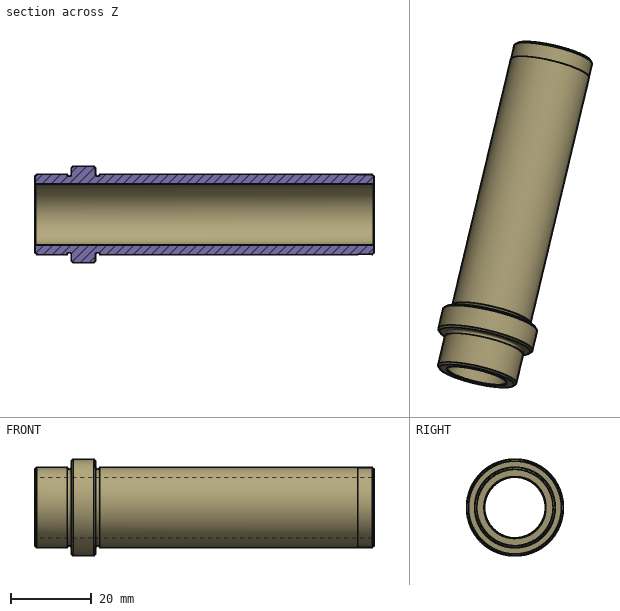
import cadquery as cq

length = 84.0
body_diameter = 20.0
edge_chamfer = 0.5

bore_diameter = 15.0
bore_chamfer = 0.2

flange_diameter = 24.0
flange_start = 9.0
flange_end = 15.0

groove_radius = 0.5

lead_in_length = 4.0
lead_in_diameter = 19.9

body_radius = body_diameter / 2
lead_in_radius = lead_in_diameter / 2
flange_radius = flange_diameter / 2
bore_radius = bore_diameter / 2
bore_mouth_radius = bore_radius + bore_chamfer
groove_floor_radius = body_radius - groove_radius
lead_in_start = length - lead_in_length
spigot_end = flange_start - 2 * groove_radius
shank_start = flange_end + 2 * groove_radius


def half_section():
    """Closed half section of the bush: X along the axis, Y is the radius."""
    return (
        cq.Workplane("XY")
        .moveTo(0, bore_mouth_radius)
        .lineTo(0, body_radius - edge_chamfer)
        .lineTo(edge_chamfer, body_radius)
        .lineTo(spigot_end, body_radius)
        .threePointArc((flange_start - groove_radius, groove_floor_radius), (flange_start, body_radius))
        .lineTo(flange_start, flange_radius - edge_chamfer)
        .lineTo(flange_start + edge_chamfer, flange_radius)
        .lineTo(flange_end - edge_chamfer, flange_radius)
        .lineTo(flange_end, flange_radius - edge_chamfer)
        .lineTo(flange_end, body_radius)
        .threePointArc((flange_end + groove_radius, groove_floor_radius), (shank_start, body_radius))
        .lineTo(lead_in_start, body_radius)
        .lineTo(lead_in_start, lead_in_radius)
        .lineTo(length - edge_chamfer, lead_in_radius)
        .lineTo(length, lead_in_radius - edge_chamfer)
        .lineTo(length, bore_mouth_radius)
        .lineTo(length - bore_chamfer, bore_radius)
        .lineTo(bore_chamfer, bore_radius)
        .close()
    )


result = half_section().revolve(360, (0, 0, 0), (1, 0, 0))